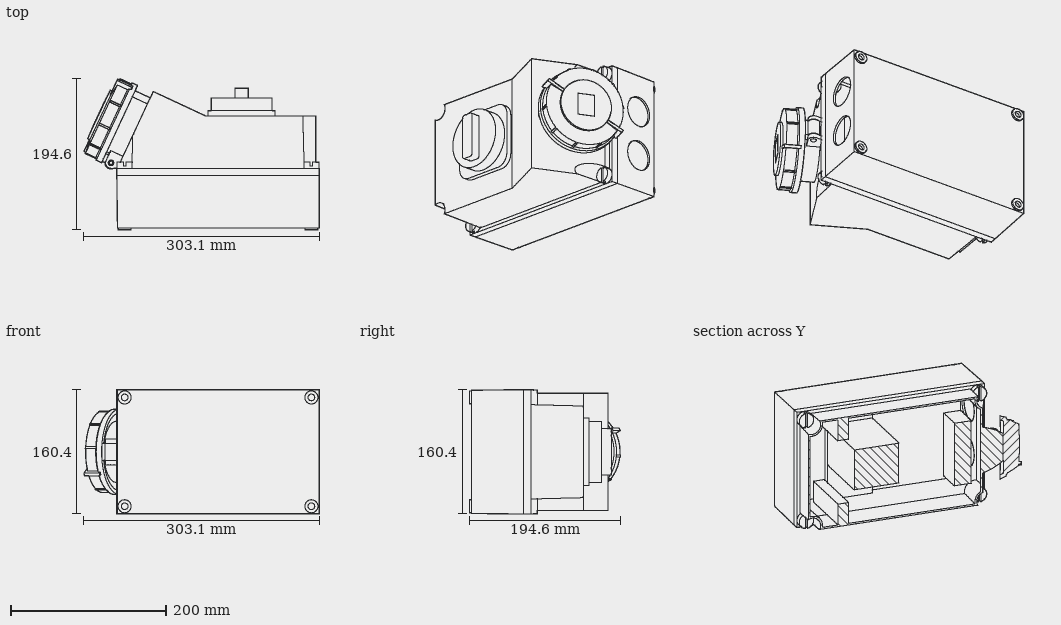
import cadquery as cq
import math


length = 260.7
half_width = 80.2
wall = 3.0
base_height = 67.3
base_draft = 0.8
flange_top = 76.9
gland_hole_radius = 20.0
gland_hole_y = 28.5
gland_hole_z = 30.3

screw_inset = 10.2
screw_x = (screw_inset, length - screw_inset)
screw_z = (screw_inset - half_width, half_width - screw_inset)
foot_radius = 8.4
foot_height = 2.5
foot_hole_radius = 4.3
foot_hole_depth = 4.0
screw_head_radius = 10.0
screw_head_height = 7.9
screw_slot_width = 3.2
screw_slot_depth = 4.8
screw_pocket_radius = 10.9
screw_pocket_taper = 1.3

tilt = 25.0
tilt_sin = math.sin(math.radians(tilt))
tilt_cos = math.cos(math.radians(tilt))
tilt_tan = tilt_sin / tilt_cos
housing_half_width = 75.7
housing_end = 256.2
roof_y = 144.2
peak_x = 47.0
peak_y = 175.8
slope_start_y = flange_top + screw_head_height
housing_foot_x = peak_x - (peak_y - slope_start_y) * tilt_tan
roof_kink_x = peak_x + (peak_y - roof_y) / tilt_tan

contact_block_x = (29.4, 53.0)
contact_block_half_width = 43.8
switch_body_x = (130.0, 192.0)
switch_body_half_width = 28.0
pad_top = 12.8
post_x = (200.0, 215.0)
post_inner_z = 43.8
post_bottom = 21.0

switch_x = 160.7
switch_plate_size = 86.5
switch_plate_corner = 16.4
switch_plate_height = 7.0
dial_radius = 39.2
dial_height = 16.3
handle_width = 17.3
handle_length = 60.0
handle_height = 12.5
handle_corner = 3.4

socket_drop = 56.4
collar_radius = 39.5
collar_length = 21.4
lobe_radius = 7.9
hinge_height = 10.4
ear_radius = 7.0
ear_hole_radius = 3.6
ear_inner_z = 10.9
ear_outer_z = 16.8
knuckle_radius = 8.0
knuckle_hole_radius = 2.2
arm_start = 42.0
arm_end = 53.0
hinge_y = flange_top + ear_radius
hinge_drop = (peak_y + hinge_height * tilt_sin - hinge_y) / tilt_cos - socket_drop
hinge_x = peak_x - (socket_drop + hinge_drop) * tilt_sin - hinge_height * tilt_cos

cap_rim_radius = 55.0
cap_rim_height = 7.6
cap_rim_slope = 2.0
cap_recess_radius = 50.0
cap_recess_depth = 4.3
cap_ring_radius = 52.5
cap_ring_height = 24.0
disc_radius = 34.5
disc_height = 29.4
disc_dome = 0.8
cone_top_height = 26.2
grip_count = 10
grip_start_angle = 60.0
grip_radius = 53.4
grip_width = 2.5
wing_radius = 58.3
wing_inner_radius = 32.0
wing_width = 4.0
wing_start = 5.0
wing_end = 26.9
label_length = 29.0
label_width = 22.5
label_depth = 0.5


def box(x_range, y_range, z_range):
    """Box between two limits on each axis."""
    size = [high - low for low, high in (x_range, y_range, z_range)]
    return cq.Workplane("XY").box(*size, centered=False).translate((x_range[0], y_range[0], z_range[0]))


def level(y, x=0.0):
    """Workplane at height y facing +Y, with its own x along X and its own y along -Z."""
    return cq.Workplane(cq.Plane(origin=(x, y, 0), xDir=(1, 0, 0), normal=(0, 1, 0)))


def screw_places(y):
    """Workplane at height y holding the four corner screw positions."""
    return level(y).pushPoints([(x, z) for x in screw_x for z in screw_z])


def socket_plane(height=0.0):
    """Workplane square to the socket axis: own x along Z, own y up the sloping face."""
    origin = (
        peak_x - socket_drop * tilt_sin - height * tilt_cos,
        peak_y - socket_drop * tilt_cos + height * tilt_sin,
        0,
    )
    return cq.Workplane(cq.Plane(origin=origin, xDir=(0, 0, 1), normal=(-tilt_cos, tilt_sin, 0)))


def socket_block(heights, drops, half_width):
    """Block between two heights over the sloping face and two drops below the socket axis."""
    block = socket_plane(heights[0]).center(0, -(drops[0] + drops[1]) / 2)
    return block.rect(2 * half_width, drops[1] - drops[0]).extrude(heights[1] - heights[0])


def hinge_cylinder(radius, half_width):
    """Cylinder along Z about the hinge axis."""
    return cq.Workplane("XY").center(hinge_x, hinge_y).circle(radius).extrude(half_width, both=True)


def make_base():
    def tray(inset, bottom):
        x_low = (base_draft + inset, inset)
        z_high = (half_width - base_draft - inset, half_width - inset)
        x_high = length - inset
        lower = level(bottom).center((x_low[0] + x_high) / 2, 0).rect(x_high - x_low[0], 2 * z_high[0])
        upper = lower.workplane(offset=base_height - bottom).center((x_low[1] - x_low[0]) / 2, 0)
        return upper.rect(x_high - x_low[1], 2 * z_high[1]).loft(combine=True)

    base = tray(0, 0).cut(tray(wall, wall))
    pad_half_width = half_width - base_draft - wall
    pad = box(switch_body_x, (wall, pad_top), (-pad_half_width, pad_half_width))
    base = base.union(pad)
    for z in (-gland_hole_z, gland_hole_z):
        hole = cq.Workplane("YZ").center(gland_hole_y, z).circle(gland_hole_radius)
        base = base.cut(hole.extrude(2 * wall))
    feet = screw_places(-foot_height).circle(foot_radius).extrude(foot_height + wall)
    foot_holes = screw_places(-foot_height).circle(foot_hole_radius).extrude(foot_hole_depth)
    return base.union(feet).cut(foot_holes)


def screw_pockets(radius, bottom):
    """Upright round channels over the corner screws, widening upwards."""
    return screw_places(bottom).circle(radius).extrude(peak_y, taper=-screw_pocket_taper)


def housing_outline():
    return cq.Workplane("XY").polyline(
        [
            (housing_foot_x, flange_top),
            (housing_foot_x, slope_start_y),
            (peak_x, peak_y),
            (roof_kink_x, roof_y),
            (housing_end, roof_y),
            (housing_end, flange_top),
        ]
    ).close()


def make_housing():
    flange = box((0, length), (base_height, flange_top), (-half_width, half_width))
    housing = housing_outline().extrude(housing_half_width, both=True)
    housing = housing.cut(screw_pockets(screw_pocket_radius, flange_top)).union(flange)

    cavity_half_width = housing_half_width - wall
    cavity = housing_outline().offset2D(-wall).extrude(cavity_half_width, both=True)
    mouth = box(
        (housing_foot_x + wall, housing_end - wall),
        (base_height, flange_top + wall),
        (-cavity_half_width, cavity_half_width),
    )
    cavity = cavity.union(mouth).cut(screw_pockets(screw_pocket_radius + wall, base_height))
    return housing.cut(cavity)


def make_inner_blocks():
    """Contact block, switch body and two side posts hanging from the housing."""
    envelope = housing_outline().extrude(contact_block_half_width, both=True)
    block_z = (-contact_block_half_width, contact_block_half_width)
    body_z = (-switch_body_half_width, switch_body_half_width)
    contact_block = box(contact_block_x, (flange_top, peak_y), block_z).intersect(envelope)
    contact_block = contact_block.union(box(contact_block_x, (base_height, flange_top), block_z))
    blocks = contact_block.union(box(switch_body_x, (pad_top, roof_y), body_z))
    for side in (-1, 1):
        post_z = sorted((side * post_inner_z, side * (housing_half_width - wall)))
        blocks = blocks.union(box(post_x, (post_bottom, roof_y), post_z))
    return blocks


def make_screw_heads():
    heads = screw_places(flange_top).circle(screw_head_radius).extrude(screw_head_height)
    slots = screw_places(flange_top + screw_head_height)
    slots = slots.rect(screw_slot_width, 2 * screw_head_radius).extrude(-screw_slot_depth)
    return heads.cut(slots)


def make_switch():
    plate = level(roof_y, switch_x).rect(switch_plate_size, switch_plate_size).extrude(switch_plate_height)
    plate = plate.edges("|Y").fillet(switch_plate_corner)
    dial = plate.faces(">Y").workplane(origin=(switch_x, 0, 0)).circle(dial_radius).extrude(dial_height)
    handle_y = roof_y + switch_plate_height + dial_height
    handle = level(handle_y, switch_x).rect(handle_width, handle_length).extrude(handle_height)
    return dial.union(handle.edges("|Y").fillet(handle_corner))


def make_socket():
    reach = collar_length + cap_recess_depth
    collar = socket_plane().circle(collar_radius).extrude(reach)
    lobe = socket_plane().center(0, collar_radius).circle(lobe_radius).extrude(reach)

    ears = socket_block((0, hinge_height + ear_radius), (0, hinge_drop), ear_outer_z)
    ears = ears.union(hinge_cylinder(ear_radius, ear_outer_z))
    ears = ears.union(box((hinge_x, housing_foot_x), (flange_top, hinge_y), (-ear_outer_z, ear_outer_z)))
    gap_reach = 2 * ear_radius
    gap_heights = (0, hinge_height + gap_reach)
    gap = socket_block(gap_heights, (0, hinge_drop + gap_reach), ear_inner_z)
    gap = gap.union(box((hinge_x, housing_foot_x), (flange_top, hinge_y), (-ear_inner_z, ear_inner_z)))
    ears = ears.cut(gap).cut(hinge_cylinder(ear_hole_radius, ear_outer_z))
    return collar.union(lobe).union(ears)


def make_cover():
    cover = make_housing().union(make_inner_blocks())
    return cover.union(make_screw_heads()).union(make_switch()).union(make_socket())


def make_cap_body():
    """Turned shape of the cap, with a recess in its back that the collar enters."""
    half_way_height = disc_height + disc_dome * (1 - 0.5**2)
    frame = socket_plane(collar_length).plane
    profile = cq.Workplane(cq.Plane(origin=frame.origin, xDir=frame.xDir, normal=-frame.yDir))
    profile = (
        profile.moveTo(0, cap_recess_depth)
        .lineTo(cap_recess_radius, cap_recess_depth)
        .lineTo(cap_recess_radius, 0)
        .lineTo(cap_rim_radius, 0)
        .lineTo(cap_rim_radius, cap_rim_height)
        .lineTo(cap_ring_radius, cap_rim_height + cap_rim_slope)
        .lineTo(cap_ring_radius, cap_ring_height)
        .lineTo(disc_radius, cone_top_height)
        .lineTo(disc_radius, disc_height)
        .threePointArc((disc_radius / 2, half_way_height), (0, disc_height + disc_dome))
        .close()
    )
    return profile.revolve(360, (0, 0, 0), (0, 1, 0))


def make_cap():
    cap = make_cap_body()
    for index in range(grip_count):
        is_wing = index % (grip_count // 2) == 0
        radius = wing_radius if is_wing else grip_radius
        width = wing_width if is_wing else grip_width
        start = wing_start if is_wing else cap_rim_height
        end = wing_end if is_wing else cap_ring_height
        grip = socket_plane(collar_length + start)
        grip = grip.transformed(rotate=(0, 0, grip_start_angle + index * 360 / grip_count))
        inner = wing_inner_radius if is_wing else cap_ring_radius - cap_rim_slope
        grip = grip.center((inner + radius) / 2, 0).rect(radius - inner, width)
        cap = cap.union(grip.extrude(end - start))

    label = socket_plane(collar_length + disc_height + disc_dome).rect(label_length, label_width)
    cap = cap.cut(label.extrude(-label_depth))
    knuckle = socket_block((hinge_height, collar_length + cap_rim_height), (arm_start, arm_end), ear_inner_z)
    knuckle = knuckle.union(hinge_cylinder(knuckle_radius, ear_inner_z))
    return cap.union(knuckle).cut(hinge_cylinder(knuckle_hole_radius, ear_inner_z))


base = make_base()
cover = make_cover()
cap = make_cap()
result = cq.Compound.makeCompound([body.solids().val() for body in (base, cover, cap)])